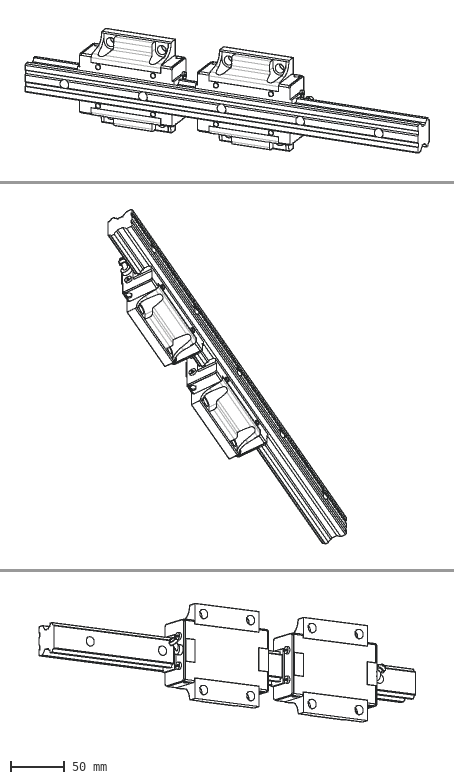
import cadquery as cq
import math


rail_length = 400.0
rail_height = 26.0
rail_width = 28.0
rail_hole_count = 5
rail_hole_diameter = 9.0
first_carriage_x = 99.0
carriage_pitch = 120.0
mount_y = 42.0
carriage_base_y = 8.5

rail_base_chamfer = 1.0
rail_waist_z = 9.0
rail_waist_low_y = 10.5
rail_waist_high_y = 15.5
rail_foot_y = 6.0
raceway_low_y = 19.0
raceway_high_y = 23.0
raceway_floor_y = 17.0
raceway_floor_z = 11.0
raceway_bulge = 1.0
rail_top_z = 10.5
rail_top_shoulder_y = 25.0
rail_top_shoulder_z = 11.0
base_groove_inner_z = 3.0
base_groove_outer_z = 8.0
base_groove_depth = 1.0

block_length = 71.0
carriage_width = 90.0
relief_y = 41.0
relief_half_width = 25.5
flange_step_y = 33.0
flange_step = 1.0
flange_base_y = 24.0
flange_edge_radius = 3.0
flange_root_z = 32.5
flange_root_radius = 2.5
flank_lean = 11.0
block_base_y = 9.0
block_foot_radius = 3.0

bolt_spacing_x = 52.0
bolt_z = 36.0
bolt_hole_diameter = 9.0
bolt_seat_y = 32.0
bolt_seat_diameter = 13.0
scoop_mid_y = 28.0
scoop_mid_z = 35.0

cap_half_length = 45.5
cap_half_width = 29.5
cap_chamfer = 1.5
cap_pad_half_width = 11.0
plate_half_length = 47.0
plate_side_inset = 0.5
plate_top_inset = 1.0
seal_half_length = 49.0
seal_half_width = 16.5
seal_top_y = 27.5
retainer_half_width = 22.5

side_port_diameter = 5.5
side_port_depth = 2.0
side_port_y = 36.5
side_port_x = 41.5
base_screw_x = 28.0
base_screw_z = 19.0
base_screw_diameter = 5.0
base_screw_height = 1.0
end_screw_y = 33.0
end_screw_z = 14.0
end_screw_diameter = 7.0
end_screw_socket = 2.0
screw_socket_depth = 1.0

nipple_y = 35.0
nipple_z = 1.0
nipple_foot_diameter = 9.5
nipple_foot_length = 4.0
nipple_neck_diameter = 5.0
nipple_neck_length = 7.0
nipple_neck_tilt = 50.0
nipple_head_diameter = 8.0
nipple_head_length = 3.0
nipple_tip_diameter = 5.0
nipple_tip_length = 2.0


def both_halves(half):
    """Join a half that lies at Z >= 0 with its mirror image."""
    return half.union(half.mirror("XY"))


def x_bar(half_length, low_y, high_y, half_width):
    """A box centred on X = 0 and Z = 0."""
    return cq.Workplane("XY").box(2 * half_length, high_y - low_y, 2 * half_width).translate(
        (0, (low_y + high_y) / 2, 0)
    )


def arc_point(centre, radius, degrees):
    """Point on a circle, with the angle measured from +Y toward +Z."""
    angle = math.radians(degrees)
    return (centre[0] + radius * math.cos(angle), centre[1] + radius * math.sin(angle))


def rail_section(start_x, length):
    """Outer rail bar with two raceways on each side."""
    side = rail_width / 2
    lower_mid = (
        (raceway_low_y + raceway_floor_y) / 2 + raceway_bulge / 2,
        (side + raceway_floor_z) / 2 - raceway_bulge,
    )
    upper_mid = (
        (raceway_high_y + rail_top_shoulder_y) / 2 - raceway_bulge / 2,
        (side + rail_top_shoulder_z) / 2 - raceway_bulge,
    )
    half = (
        cq.Workplane("YZ", origin=(start_x, 0, 0))
        .moveTo(0, 0)
        .lineTo(0, side - rail_base_chamfer)
        .lineTo(rail_base_chamfer, side)
        .lineTo(rail_foot_y, side)
        .lineTo(rail_waist_low_y, rail_waist_z)
        .lineTo(rail_waist_high_y, rail_waist_z)
        .lineTo(raceway_floor_y, raceway_floor_z)
        .threePointArc(lower_mid, (raceway_low_y, side))
        .lineTo(raceway_high_y, side)
        .threePointArc(upper_mid, (rail_top_shoulder_y, rail_top_shoulder_z))
        .lineTo(rail_height, rail_top_z)
        .lineTo(rail_height, 0)
        .close()
        .extrude(length)
    )
    return both_halves(half)


def make_rail():
    rail = rail_section(0, rail_length)
    groove = (
        cq.Workplane("YZ")
        .polyline(
            [
                (0, base_groove_inner_z),
                (base_groove_depth, base_groove_inner_z + base_groove_depth),
                (base_groove_depth, base_groove_outer_z),
                (0, base_groove_outer_z),
            ]
        )
        .close()
        .extrude(rail_length)
    )
    rail = rail.cut(groove).cut(groove.mirror("XY"))
    hole_pitch = rail_length / rail_hole_count
    for index in range(rail_hole_count):
        hole_x = (index + 0.5) * hole_pitch
        hole = cq.Workplane("XZ").center(hole_x, 0).circle(rail_hole_diameter / 2).extrude(-rail_height)
        rail = rail.cut(hole)
    return rail


def make_block():
    """Flanged block, solid across the rail space."""
    outer_z = carriage_width / 2
    edge_z = outer_z - flange_step
    edge_centre = (flange_base_y + flange_edge_radius, edge_z - flange_edge_radius)
    root_centre = (flange_base_y - flange_root_radius, flange_root_z + flange_root_radius)
    flank_normal = 90 + flank_lean
    flank_top = arc_point(root_centre, flange_root_radius, flank_normal + 180)

    foot_centre_y = block_base_y + block_foot_radius
    flank_foot_y = arc_point((foot_centre_y, 0), block_foot_radius, flank_normal)[0]
    flank_foot_z = flank_top[1] - (flank_top[0] - flank_foot_y) * math.tan(math.radians(flank_lean))
    foot_centre = (foot_centre_y, flank_foot_z - block_foot_radius * math.cos(math.radians(flank_lean)))

    edge_mid = arc_point(edge_centre, flange_edge_radius, 135)
    root_mid = arc_point(root_centre, flange_root_radius, 315 + flank_lean / 2)
    foot_mid = arc_point(foot_centre, block_foot_radius, 135 + flank_lean / 2)
    half = (
        cq.Workplane("YZ", origin=(-block_length / 2, 0, 0))
        .moveTo(relief_y, 0)
        .lineTo(relief_y, relief_half_width)
        .lineTo(mount_y, relief_half_width)
        .lineTo(mount_y, outer_z)
        .lineTo(flange_step_y, outer_z)
        .lineTo(flange_step_y - flange_step, edge_z)
        .lineTo(edge_centre[0], edge_z)
        .threePointArc(edge_mid, (flange_base_y, edge_centre[1]))
        .lineTo(flange_base_y, root_centre[1])
        .threePointArc(root_mid, flank_top)
        .lineTo(flank_foot_y, flank_foot_z)
        .threePointArc(foot_mid, (block_base_y, foot_centre[1]))
        .lineTo(block_base_y, 0)
        .close()
        .extrude(block_length)
    )
    return both_halves(half)


def make_bolt_seat():
    """Clearance below one flange bolt at +X, +Z: bolt hole, open-sided seat and scooped end margin."""
    bolt_x = bolt_spacing_x / 2
    outer_z = carriage_width / 2
    hole = cq.Workplane("XZ").center(bolt_x, bolt_z).circle(bolt_hole_diameter / 2).extrude(-mount_y)
    round_seat = cq.Workplane("XZ").center(bolt_x, bolt_z).circle(bolt_seat_diameter / 2).extrude(-bolt_seat_y)
    open_side = cq.Workplane("XY").box(
        bolt_seat_diameter, bolt_seat_y, outer_z - bolt_z, centered=(True, False, False)
    ).translate((bolt_x, 0, bolt_z))
    margin = (
        cq.Workplane("YZ", origin=(bolt_x, 0, 0))
        .moveTo(bolt_seat_y, outer_z)
        .lineTo(bolt_seat_y, outer_z - flange_step)
        .threePointArc((scoop_mid_y, scoop_mid_z), (flange_base_y - flange_root_radius, flange_root_z))
        .lineTo(flange_base_y - flange_root_radius, outer_z)
        .close()
        .extrude(block_length / 2 - bolt_x)
    )
    return hole.union(round_seat).union(open_side).union(margin)


def make_ends():
    """Caps, plates and seals at both ends, as bars that run the whole length."""
    cap = x_bar(cap_half_length, carriage_base_y, relief_y, cap_half_width)
    cap = cap.edges("|X").chamfer(cap_chamfer)
    pad = x_bar(cap_half_length, relief_y, mount_y, cap_pad_half_width)
    plate = x_bar(
        plate_half_length, carriage_base_y, relief_y - plate_top_inset, cap_half_width - plate_side_inset
    ).edges("|X").chamfer(cap_chamfer)
    seal = x_bar(seal_half_length, carriage_base_y, seal_top_y, seal_half_width)
    middle = x_bar(block_length / 2, 0, mount_y, cap_half_width)
    retainer = x_bar(block_length / 2, carriage_base_y, relief_y, retainer_half_width)
    return cap.union(pad).union(plate).union(seal).cut(middle).union(retainer)


def make_carriage():
    """Carriage centred on X = 0 with the nipple seat at its -X end."""
    carriage = make_block()
    seat = make_bolt_seat()
    seats = both_halves(seat)
    carriage = carriage.cut(seats).cut(seats.mirror("YZ"))
    carriage = carriage.union(make_ends())

    base_head = cq.Workplane("XZ").circle(base_screw_diameter / 2).extrude(base_screw_height)
    base_head = base_head.translate((base_screw_x, carriage_base_y, base_screw_z))
    end_head_height = seal_half_length - plate_half_length
    end_head = (
        cq.Workplane("YZ")
        .circle(end_screw_diameter / 2)
        .extrude(end_head_height)
        .faces(">X")
        .workplane()
        .circle(end_screw_socket / 2)
        .cutBlind(-screw_socket_depth)
        .translate((plate_half_length, end_screw_y, end_screw_z))
    )
    heads = both_halves(base_head.union(end_head))
    carriage = carriage.union(heads).union(heads.mirror("YZ"))

    port = cq.Workplane("XY").circle(side_port_diameter / 2).extrude(side_port_depth)
    port = port.translate((side_port_x, side_port_y, cap_half_width - side_port_depth))
    ports = both_halves(port)
    carriage = carriage.cut(ports).cut(ports.mirror("YZ"))
    return carriage.cut(rail_section(-seal_half_length, 2 * seal_half_length))


def make_nipple():
    """Elbow grease nipple standing on the -X end plate of a carriage centred on X = 0."""
    tilt = math.radians(nipple_neck_tilt)
    reach = cq.Vector(-math.cos(tilt), 0, math.sin(tilt))
    bend = cq.Vector(-nipple_foot_length / 2, 0, 0)
    foot = cq.Workplane("YZ").circle(nipple_foot_diameter / 2).extrude(-nipple_foot_length)
    elbow = (
        cq.Workplane(cq.Plane(origin=bend, xDir=(0, 1, 0), normal=reach))
        .circle(nipple_neck_diameter / 2)
        .extrude(nipple_neck_length)
        .faces(cq.selectors.DirectionMinMaxSelector(reach))
        .workplane()
        .circle(nipple_head_diameter / 2)
        .extrude(nipple_head_length)
        .faces(cq.selectors.DirectionMinMaxSelector(reach))
        .workplane()
        .circle(nipple_tip_diameter / 2)
        .extrude(nipple_tip_length)
    )
    nipple = foot.union(elbow)
    return nipple.translate((-plate_half_length, nipple_y, nipple_z))


rail = make_rail()
carriage_shape = make_carriage()
nipple_shape = make_nipple()

carriages = []
nipples = []
for index in range(2):
    place = (first_carriage_x + index * carriage_pitch, 0, 0)
    carriage = carriage_shape.mirror("YZ") if index else carriage_shape
    nipple = nipple_shape.mirror("YZ") if index else nipple_shape
    carriages.append(carriage.translate(place).val())
    nipples.append(nipple.translate(place).val())

result = cq.Compound.makeCompound([rail.val(), *carriages, *nipples])